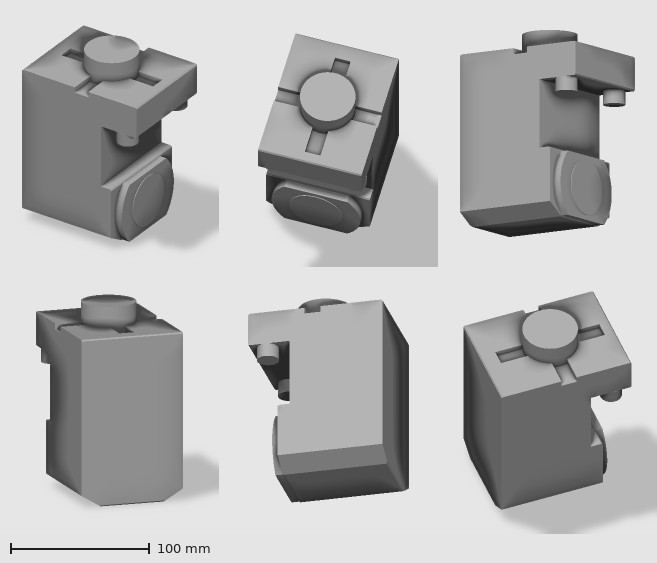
import cadquery as cq

length = 100.0
body_width = 77.4
total_height = 139
knob_height = 15.0
body_top = total_height - knob_height
arm_thickness = 25
arm_bottom = body_top - arm_thickness
neck_length = 69.0
foot_length = 77.8
foot_top = 48.9
edge_chamfer = 1.0

slope_width = 14.9
slope_height = 8.9

knob_diameter = 40.0
knob_x = 52.0
groove_width = 11.7
groove_depth = 4.5
pocket_length = 80.0
groove_floor = body_top - groove_depth

pin_diameter = 16.0
pin_length = 10.0
pin_x = 87.0
pin_span = 78.0
pin_y = (pin_span - pin_diameter) / 2

cap_diameter = 66.5
cap_height = 47.1
cap_thickness = 5.5
cap_face_diameter = 40.0
cap_face_thickness = 0.5
cap_z = 24.0


def make_body():
    c = edge_chamfer
    outline = [
        (c, 0),
        (foot_length - c, 0),
        (foot_length, c),
        (foot_length, foot_top - c),
        (foot_length - c, foot_top),
        (neck_length, foot_top),
        (neck_length, arm_bottom),
        (length - c, arm_bottom),
        (length, arm_bottom + c),
        (length, body_top - c),
        (length - c, body_top),
        (c, body_top),
        (0, body_top - c),
        (0, c),
    ]
    return cq.Workplane("XZ").polyline(outline).close().extrude(body_width / 2, both=True)


def make_corner_wedge(side):
    outer_y = side * body_width / 2
    inner_y = side * (body_width / 2 - slope_width)
    triangle = [(outer_y, 0), (inner_y, 0), (outer_y, slope_height)]
    return cq.Workplane("YZ").polyline(triangle).close().extrude(foot_length)


def make_groove(size_x, size_y):
    groove = cq.Workplane("XY").box(size_x, size_y, groove_depth, centered=(True, True, False))
    return groove.translate((knob_x, 0, groove_floor))


def make_knob():
    base = cq.Workplane("XY", origin=(knob_x, 0, groove_floor))
    return base.circle(knob_diameter / 2).extrude(total_height - groove_floor)


def make_pin(side):
    base = cq.Workplane("XY", origin=(pin_x, side * pin_y, arm_bottom))
    return base.circle(pin_diameter / 2).extrude(-pin_length)


def make_cap():
    base = cq.Workplane("YZ", origin=(foot_length, 0, cap_z))
    flats = base.rect(cap_diameter, cap_height).extrude(cap_thickness)
    rim = base.circle(cap_diameter / 2).extrude(cap_thickness).intersect(flats)
    face = base.circle(cap_face_diameter / 2).extrude(cap_thickness + cap_face_thickness)
    return rim.union(face)


result = make_body()
for side in (-1, 1):
    result = result.cut(make_corner_wedge(side))
result = result.cut(make_groove(groove_width, body_width))
result = result.cut(make_groove(pocket_length, groove_width))
result = result.union(make_knob())
for side in (-1, 1):
    result = result.union(make_pin(side))
result = result.union(make_cap())